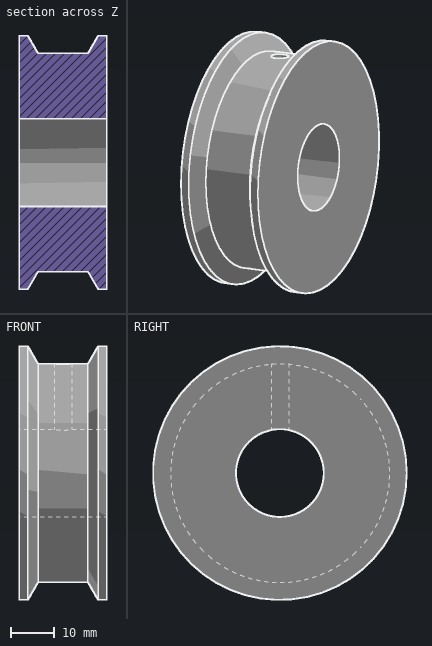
import cadquery as cq
import math

outer_diameter = 58.0
width = 20.0
bore_diameter = 20.0
groove_diameter = 50.0
groove_top_width = 16.0
groove_wall_angle = 30.0
radial_hole_diameter = 4.0

outer_radius = outer_diameter / 2
groove_radius = groove_diameter / 2
groove_depth = outer_radius - groove_radius
groove_top_half = groove_top_width / 2
groove_floor_half = groove_top_half - groove_depth * math.tan(math.radians(groove_wall_angle))


def make_roller():
    """Revolve the half section, including the bore, about the X axis."""
    bore_radius = bore_diameter / 2
    return (
        cq.Workplane("XY")
        .moveTo(-width / 2, bore_radius)
        .lineTo(-width / 2, outer_radius)
        .lineTo(-groove_top_half, outer_radius)
        .lineTo(-groove_floor_half, groove_radius)
        .lineTo(groove_floor_half, groove_radius)
        .lineTo(groove_top_half, outer_radius)
        .lineTo(width / 2, outer_radius)
        .lineTo(width / 2, bore_radius)
        .close()
        .revolve(360, (0, 0, 0), (1, 0, 0))
    )


def make_radial_hole():
    """Cylinder from the roller axis up through the groove floor."""
    return cq.Workplane("XY").circle(radial_hole_diameter / 2).extrude(outer_radius)


result = make_roller().cut(make_radial_hole())